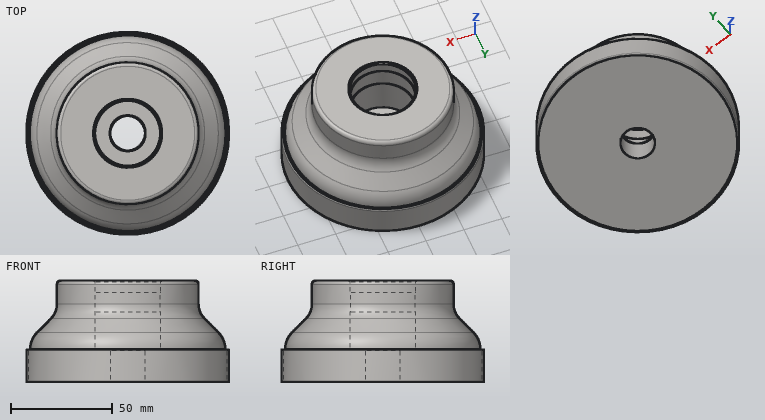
import cadquery as cq
import math

ring_radius = 50.0
ring_inner_radius = 49.0
ring_height = 16.0
ring_edge_fillet = 0.5
ring_slope = 3.0

total_height = 50.0
skirt_radius = 48.2
skirt_arc_radius = 12.0
flank_angle = 45.0
neck_radius = 35.0
neck_arc_radius = 10.0
neck_start_height = 38.3
neck_top_fillet = 2.0
ledge_slope = 10.0

seat_radius = 16.0
seat_bottom = 34.5
seat_top = 44.1
bore_radius = seat_radius + 0.2
bore_chamfer = 0.8
bore_floor = 16.0
hole_radius = 8.5
hole_chamfer = 0.4

rim_edge_radius = ring_radius - ring_edge_fillet
rim_width = rim_edge_radius - ring_inner_radius
ledge_width = ring_inner_radius - skirt_radius
rim_height = ring_height + rim_width * math.tan(math.radians(ring_slope))
ledge_height = rim_height + ledge_width * math.tan(math.radians(ledge_slope))


def point_on_arc(center, radius, degrees):
    angle = math.radians(degrees)
    return (center[0] + radius * math.cos(angle), center[1] + radius * math.sin(angle))


def revolve_about_z(profile):
    return profile.close().revolve(360, (0, 0, 0), (0, 1, 0))


def make_knob_outside():
    skirt_center = (skirt_radius - skirt_arc_radius, ring_height)
    skirt_foot_angle = math.degrees(math.asin((ledge_height - ring_height) / skirt_arc_radius))
    neck_center = (neck_radius + neck_arc_radius, neck_start_height)
    profile = (
        cq.Workplane("XZ")
        .lineTo(ring_inner_radius, 0)
        .lineTo(ring_inner_radius, rim_height)
        .lineTo(*point_on_arc(skirt_center, skirt_arc_radius, skirt_foot_angle))
        .threePointArc(
            point_on_arc(skirt_center, skirt_arc_radius, flank_angle / 2),
            point_on_arc(skirt_center, skirt_arc_radius, flank_angle),
        )
        .lineTo(*point_on_arc(neck_center, neck_arc_radius, 180 + flank_angle))
        .threePointArc(
            point_on_arc(neck_center, neck_arc_radius, 180 + flank_angle / 2),
            (neck_radius, neck_start_height),
        )
        .lineTo(neck_radius, total_height)
        .lineTo(0, total_height)
    )
    return revolve_about_z(profile).faces(">Z").edges().fillet(neck_top_fillet)


def make_bore():
    """Through hole and wide bore, with a slightly narrower seat band in the bore wall."""
    profile = (
        cq.Workplane("XZ")
        .lineTo(hole_radius, 0)
        .lineTo(hole_radius, bore_floor - hole_chamfer)
        .lineTo(hole_radius + hole_chamfer, bore_floor)
        .lineTo(bore_radius, bore_floor)
        .lineTo(bore_radius, seat_bottom)
        .lineTo(seat_radius, seat_bottom)
        .lineTo(seat_radius, seat_top)
        .lineTo(bore_radius, seat_top)
        .lineTo(bore_radius, total_height - bore_chamfer)
        .lineTo(bore_radius + bore_chamfer, total_height)
        .lineTo(0, total_height)
    )
    return revolve_about_z(profile)


def make_ring():
    """Plain ring around the foot of the knob, its outer edges rounded."""
    top_center = (rim_edge_radius, ring_height - ring_edge_fillet)
    bottom_center = (rim_edge_radius, ring_edge_fillet)
    profile = (
        cq.Workplane("XZ")
        .moveTo(ring_inner_radius, 0)
        .lineTo(rim_edge_radius, 0)
        .threePointArc(
            point_on_arc(bottom_center, ring_edge_fillet, -45),
            (ring_radius, ring_edge_fillet),
        )
        .lineTo(ring_radius, ring_height - ring_edge_fillet)
        .threePointArc(
            point_on_arc(top_center, ring_edge_fillet, 45),
            (rim_edge_radius, ring_height),
        )
        .lineTo(ring_inner_radius, rim_height)
    )
    return revolve_about_z(profile)


knob = make_knob_outside().cut(make_bore())
ring = make_ring()

result = cq.Compound.makeCompound([knob.val(), ring.val()])